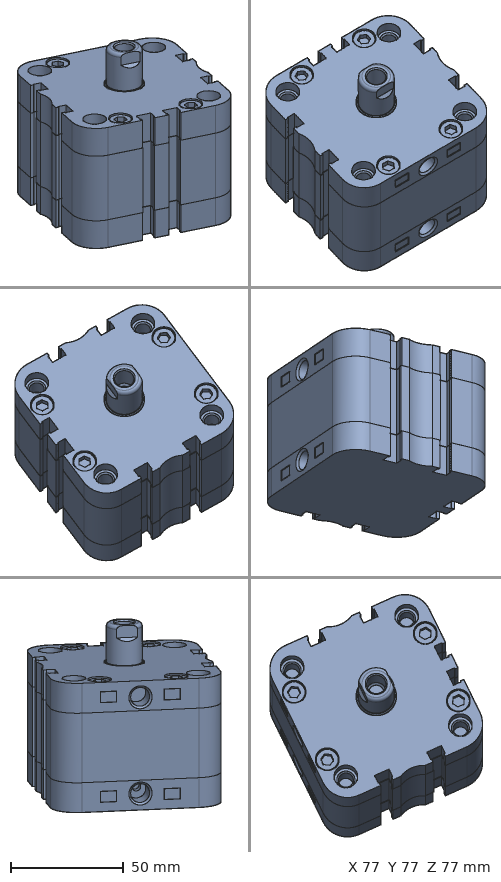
import cadquery as cq
import math

width = 77.0
overall_height = 77.0
block_height = 59.0
cover_thickness = 13.6
corner_radius = 12.0
upper_seam_z = block_height - cover_thickness
half_width = width / 2

side_slot_offset_cover = 12.85
side_slot_offset_barrel = 13.0
end_slot_offset = 6.5
lip_depth = 1.55
cover_lip_width = 6.0
cover_pocket_width = 7.1
cover_slot_depth = 5.3
barrel_lip_width = 5.7
barrel_pocket_width = 6.9
barrel_slot_depth = 5.0
groove_radius = 12.5
groove_half_width = 6.0

port_diameter = 8.55
port_mouth_diameter = 10.5
port_depth = 10.0
port_setback = 7.55
passage_diameter = 4.0
passage_z = 8.5
passage_length = 3.85
label_offset = 14.4
label_length = 7.2
label_height = 4.9
label_setback = 6.8
label_depth = 0.5

mount_offset = 28.1
mount_counterbore_diameter = 10.5
mount_counterbore_depth = 5.0
mount_chamfer_diameter = 8.0
mount_hole_diameter = 6.6
screw_x = 32.2
screw_y = 17.3
screw_recess_diameter = 10.5
screw_head_diameter = 9.8
screw_head_sink = 0.6
screw_recess_depth = 1.55
hex_across_flats = 5.0
hex_depth = 2.5
hex_sides = 6

wiper_groove_diameter = 18.0
wiper_base_diameter = 17.7
wiper_lip_diameter = 16.55
wiper_groove_depth = 0.6

rod_diameter = 16.0
rod_edge_radius = 1.7
wrench_width = 13.0
wrench_flat_length = 5.55
socket_diameter = 8.55
socket_mouth_diameter = 9.8
socket_depth = 11.55
socket_floor_diameter = 6.6


def cone(large_diameter, small_diameter, origin, direction):
    """45 degree cone frustum starting with its large end at the origin."""
    large_radius = large_diameter / 2
    small_radius = small_diameter / 2
    height = large_radius - small_radius
    return cq.Workplane(cq.Solid.makeCone(large_radius, small_radius, height, origin, direction))


def cylinder(diameter, length, origin, direction):
    return cq.Workplane(cq.Solid.makeCylinder(diameter / 2, length, origin, direction))


def t_slot(lip_width, pocket_width, depth, height):
    """T-slot cutter entering the +Y side at X = 0: a narrow mouth in front of a wider pocket."""
    mouth = cq.Workplane().box(lip_width, depth, height, centered=(True, False, False))
    pocket = cq.Workplane().box(pocket_width, depth - lip_depth, height, centered=(True, False, False))
    return mouth.union(pocket).translate((0, half_width - depth, 0))


def profiled_block(base_z, height, side_slot_offset, lip_width, pocket_width, slot_depth):
    """Rounded square slab with its slots and its two concave grooves."""
    block = (
        cq.Workplane()
        .box(width, width, height, centered=(True, True, False))
        .edges("|Z")
        .fillet(corner_radius)
    )
    slot = t_slot(lip_width, pocket_width, slot_depth, height)
    for side in (-1, 1):
        side_slot = slot.translate((side * side_slot_offset, 0, 0))
        block = block.cut(side_slot).cut(side_slot.mirror("XZ"))
        end_slot = slot.translate((side * end_slot_offset, 0, 0)).rotate((0, 0, 0), (0, 0, 1), -90)
        block = block.cut(end_slot)
    groove_center = half_width + math.sqrt(groove_radius**2 - groove_half_width**2)
    grooves = (
        cq.Workplane()
        .pushPoints([(0, -groove_center), (0, groove_center)])
        .circle(groove_radius)
        .extrude(height)
    )
    return block.cut(grooves).translate((0, 0, base_z))


def cut_port_and_labels(cover, port_z, label_z):
    """Chamfered air port between two shallow label recesses in the -X side."""
    inward = cq.Vector(1, 0, 0)
    mouth = cq.Vector(-half_width, 0, port_z)
    cover = cover.cut(cylinder(port_diameter, port_depth, mouth, inward))
    cover = cover.cut(cone(port_mouth_diameter, port_diameter, mouth, inward))
    for side in (-1, 1):
        label = cq.Workplane().box(label_depth, label_length, label_height, centered=(False, True, True))
        cover = cover.cut(label.translate((-half_width, side * label_offset, label_z)))
    return cover


def make_cover(base_z, port_z, label_z):
    cover = profiled_block(
        base_z,
        cover_thickness,
        side_slot_offset_cover,
        cover_lip_width,
        cover_pocket_width,
        cover_slot_depth,
    )
    return cut_port_and_labels(cover, port_z, label_z)


def make_lower_cover():
    cover = make_cover(0, port_setback, label_setback)
    passage_start = cq.Vector(-half_width + port_depth, 0, passage_z)
    return cover.cut(cylinder(passage_diameter, passage_length, passage_start, cq.Vector(1, 0, 0)))


def make_barrel():
    return profiled_block(
        cover_thickness,
        upper_seam_z - cover_thickness,
        side_slot_offset_barrel,
        barrel_lip_width,
        barrel_pocket_width,
        barrel_slot_depth,
    )


def mounting_hole(x, y):
    """Counterbored and chamfered hole through the upper cover."""
    down = cq.Vector(0, 0, -1)
    top = cq.Vector(x, y, block_height)
    seat = cq.Vector(x, y, block_height - mount_counterbore_depth)
    hole = cylinder(mount_hole_diameter, cover_thickness, top, down)
    hole = hole.union(cylinder(mount_counterbore_diameter, mount_counterbore_depth, top, down))
    return hole.union(cone(mount_chamfer_diameter, mount_hole_diameter, seat, down))


def screw_recess(x, y, hex_turn):
    """Sunk round screw head with a hexagon socket and a thin ring gap around it."""
    hex_corner_diameter = hex_across_flats / math.cos(math.pi / hex_sides)
    down = cq.Vector(0, 0, -1)
    head_top = cq.Vector(0, 0, -screw_head_sink)
    recess = cylinder(screw_recess_diameter, screw_recess_depth, cq.Vector(), down)
    head = cylinder(screw_head_diameter, screw_recess_depth - screw_head_sink, head_top, down)
    hexagon = (
        cq.Workplane()
        .polygon(hex_sides, hex_corner_diameter)
        .extrude(-screw_head_sink - hex_depth)
        .rotate((0, 0, 0), (0, 0, 1), hex_turn)
    )
    return recess.cut(head).union(hexagon).translate((x, y, block_height))


def wiper_groove():
    """Ring groove whose inner wall is the conical wiper lip around the rod."""
    return (
        cq.Workplane("XZ")
        .moveTo(wiper_lip_diameter / 2, block_height)
        .lineTo(wiper_groove_diameter / 2, block_height)
        .lineTo(wiper_groove_diameter / 2, block_height - wiper_groove_depth)
        .lineTo(wiper_base_diameter / 2, block_height - wiper_groove_depth)
        .close()
        .revolve(360, (0, 0, 0), (0, 1, 0))
    )


def make_upper_cover():
    cover = make_cover(upper_seam_z, block_height - port_setback, block_height - label_setback)
    for x_side in (-1, 1):
        hex_turn = 90 if x_side < 0 else 0
        for y_side in (-1, 1):
            cover = cover.cut(mounting_hole(x_side * mount_offset, y_side * mount_offset))
            cover = cover.cut(screw_recess(x_side * screw_x, y_side * screw_y, hex_turn))
    rod_base = cq.Vector(0, 0, upper_seam_z)
    cover = cover.cut(cylinder(rod_diameter, cover_thickness, rod_base, cq.Vector(0, 0, 1)))
    return cover.cut(wiper_groove())


def wrench_flat_cutter():
    """Removes the +X side of the rod tip, ending below in a 45 degree slope."""
    flat_x = wrench_width / 2
    rod_radius = rod_diameter / 2
    flat_z = overall_height - wrench_flat_length
    return (
        cq.Workplane("XZ")
        .moveTo(flat_x, overall_height)
        .lineTo(flat_x, flat_z)
        .lineTo(rod_radius, flat_z - (rod_radius - flat_x))
        .lineTo(rod_radius, overall_height)
        .close()
        .extrude(rod_radius, both=True)
    )


def make_rod():
    up = cq.Vector(0, 0, 1)
    down = cq.Vector(0, 0, -1)
    tip = cq.Vector(0, 0, overall_height)
    rod = cylinder(rod_diameter, overall_height - upper_seam_z, cq.Vector(0, 0, upper_seam_z), up)
    rod = rod.faces(">Z").edges().fillet(rod_edge_radius)
    cutter = wrench_flat_cutter()
    rod = rod.cut(cutter).cut(cutter.mirror("YZ"))
    rod = rod.cut(cylinder(socket_diameter, socket_depth, tip, down))
    rod = rod.cut(cone(socket_mouth_diameter, socket_diameter, tip, down))
    socket_end = cq.Vector(0, 0, overall_height - socket_depth)
    return rod.cut(cone(socket_diameter, socket_floor_diameter, socket_end, down))


lower_cover = make_lower_cover()
barrel = make_barrel()
upper_cover = make_upper_cover()
rod = make_rod()

bodies = [lower_cover, barrel, upper_cover, rod]
result = cq.Compound.makeCompound([body.solids().val() for body in bodies])